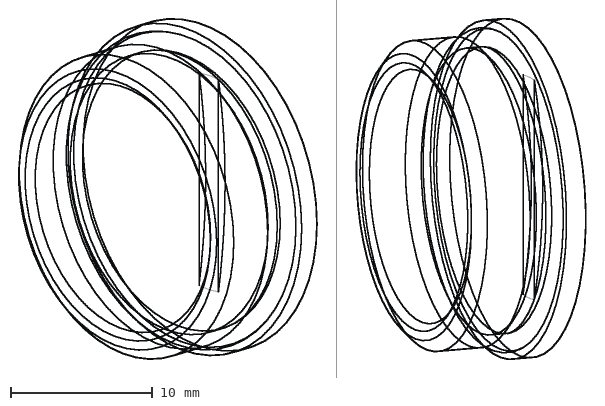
import cadquery as cq

flange_radius = 24 / 2
body_radius = 22.0 / 2
neck_radius = 20.3 / 2
body_chamfer = body_radius - neck_radius

body_top = 5.0
flange_bottom = 6.5
flange_top = 8.0
dome_top = 9.48

ring_bottom = 5.5
ring_outer_radius = 11.5
ring_section_radius = (ring_outer_radius - neck_radius) / 2
ring_center_radius = neck_radius + ring_section_radius
ring_center_y = ring_bottom + ring_section_radius

recess_mouth_radius = 9.5
recess_floor_radius = 9.0
recess_depth = recess_mouth_radius - recess_floor_radius

slot_width = 2.0
slot_depth = 0.65


def revolve_about_y(profile):
    return profile.revolve(360, (0, 0, 0), (0, 1, 0))


def make_plug():
    dome_height = dome_top - flange_top
    dome_radius = (flange_radius**2 + dome_height**2) / (2 * dome_height)
    mid_x = flange_radius / 2
    mid_y = dome_top - dome_radius + (dome_radius**2 - mid_x**2) ** 0.5
    profile = (
        cq.Workplane("XY")
        .moveTo(0, recess_depth)
        .lineTo(recess_floor_radius, recess_depth)
        .lineTo(recess_mouth_radius, 0)
        .lineTo(neck_radius, 0)
        .lineTo(body_radius, body_chamfer)
        .lineTo(body_radius, body_top - body_chamfer)
        .lineTo(neck_radius, body_top)
        .lineTo(neck_radius, flange_bottom)
        .lineTo(flange_radius, flange_bottom)
        .lineTo(flange_radius, flange_top)
        .threePointArc((mid_x, mid_y), (0, dome_top))
        .close()
    )
    return revolve_about_y(profile)


def make_sealing_ring():
    flange_offset = flange_bottom - ring_center_y
    contact_radius = ring_center_radius + (ring_section_radius**2 - flange_offset**2) ** 0.5
    profile = (
        cq.Workplane("XY")
        .moveTo(neck_radius, ring_center_y)
        .threePointArc((ring_center_radius, ring_bottom), (contact_radius, flange_bottom))
        .lineTo(neck_radius, flange_bottom)
        .close()
    )
    return revolve_about_y(profile)


def make_slot():
    return (
        cq.Workplane("XY")
        .box(slot_width, 2 * slot_depth, 2 * flange_radius)
        .translate((0, dome_top, 0))
    )


result = make_plug().union(make_sealing_ring()).cut(make_slot())